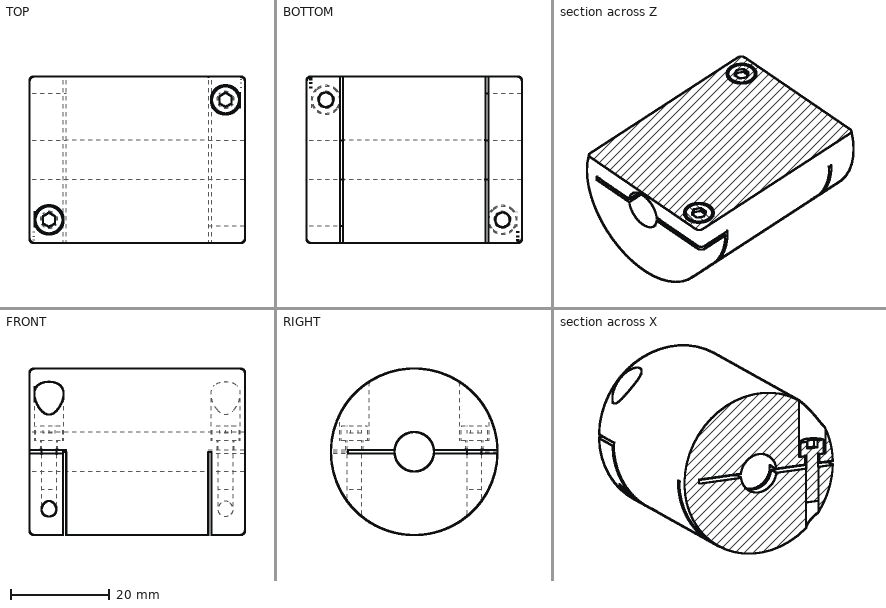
import cadquery as cq
import math

length = 44.0
outer_diameter = 34.0
outer_radius = outer_diameter / 2
bore_diameter = 8.0
edge_radius = 1.0

slit_width = 0.8
slit_reach = 13.5
relief_start = 6.85
relief_width = 0.65
relief_end = relief_start + relief_width
relief_top_z = -0.1

screw_offset = 12.25
screw_inset = 4.0
thread_diameter = 3.0
thread_length = 10.0
head_diameter = 5.5
head_height = 3.0
head_edge_radius = 0.35
socket_across_flats = 2.5
socket_depth = 1.5
head_seat_z = 2.3

counterbore_diameter = 6.0
clearance_diameter = 3.5

hub_turns = (0, 180)


def turn_about_middle(shape, angle):
    """Turn a shape about the vertical line through the middle of the coupling."""
    return shape.rotate((length / 2, 0, 0), (length / 2, 0, 1), angle)


def vertical_cylinder(diameter, bottom_z, top_z):
    """Cylinder on the screw axis of the hub at x = 0."""
    return (
        cq.Workplane("XY", origin=(screw_inset, -screw_offset, bottom_z))
        .circle(diameter / 2)
        .extrude(top_z - bottom_z)
    )


def make_clamp_cuts():
    """Slit and crosswise cut that free the lower clamp jaw of the hub at x = 0."""
    slit = cq.Workplane("XY").box(
        relief_end, outer_radius + slit_reach, slit_width, centered=(False, False, True)
    ).translate((0, -outer_radius, 0))
    relief = cq.Workplane("XY").box(
        relief_width, outer_diameter, outer_radius + relief_top_z, centered=(False, True, False)
    ).translate((relief_start, 0, -outer_radius))
    return slit.union(relief)


def make_screw_hole():
    """Counterbore, clearance hole down to the slit, then threaded hole out of the bottom."""
    counterbore = vertical_cylinder(counterbore_diameter, head_seat_z, outer_radius)
    clearance = vertical_cylinder(clearance_diameter, 0, head_seat_z)
    threaded = vertical_cylinder(thread_diameter, -outer_radius, 0)
    return counterbore.union(clearance).union(threaded)


def make_coupling():
    """Filleted cylinder with a through bore and a clamp at each end."""
    coupling = (
        cq.Workplane("YZ")
        .circle(outer_radius)
        .extrude(length)
        .edges()
        .fillet(edge_radius)
        .cut(cq.Workplane("YZ").circle(bore_diameter / 2).extrude(length))
    )
    for angle in hub_turns:
        coupling = coupling.cut(turn_about_middle(make_clamp_cuts(), angle))
        coupling = coupling.cut(turn_about_middle(make_screw_hole(), angle))
    return coupling


def make_screw():
    """Socket head cap screw of the hub at x = 0."""
    head_top_z = head_seat_z + head_height
    socket_across_corners = socket_across_flats / math.cos(math.pi / 6)
    head = (
        vertical_cylinder(head_diameter, head_seat_z, head_top_z)
        .faces(">Z")
        .edges()
        .fillet(head_edge_radius)
    )
    socket = (
        cq.Workplane("XY", origin=(screw_inset, -screw_offset, head_top_z))
        .transformed(rotate=(0, 0, 90))
        .polygon(6, socket_across_corners)
        .extrude(-socket_depth)
    )
    thread = vertical_cylinder(thread_diameter, head_seat_z - thread_length, head_seat_z)
    return head.union(thread).cut(socket)


coupling = make_coupling()
screws = [turn_about_middle(make_screw(), angle) for angle in hub_turns]

result = cq.Compound.makeCompound([coupling.val(), *[screw.val() for screw in screws]])